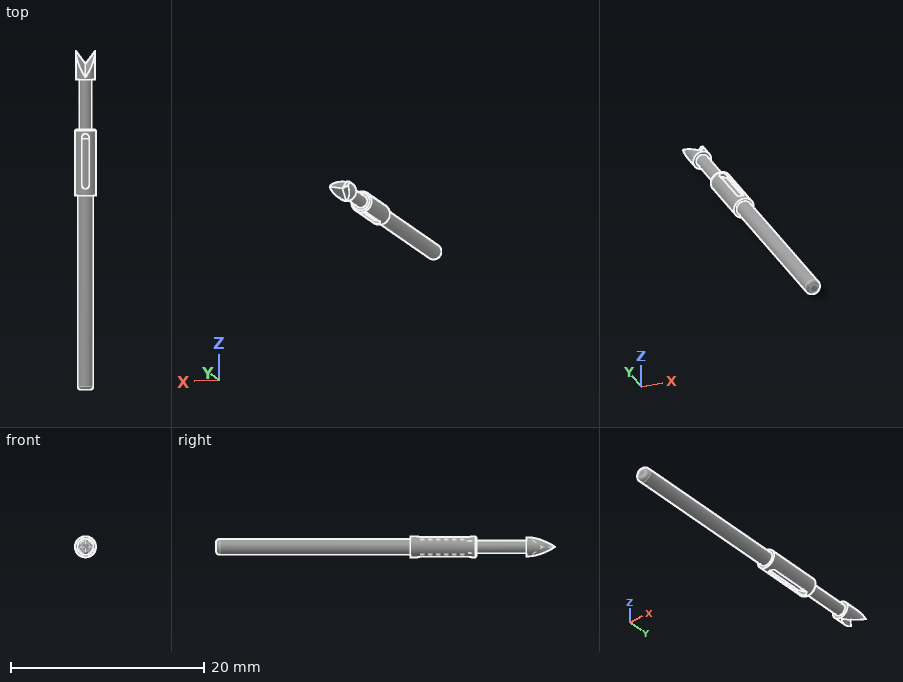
import cadquery as cq
total_length = 35.1
tip_y = total_length / 2

head_diameter = 2.0
head_length = 3.0
notch_depth_at_axis = 1.35
notch_depth_at_surface = 2.75

plunger_diameter = 1.35

collar_start = 8.1
collar_end = 15.0
collar_diameter = 2.2
collar_chamfer = 0.18

barrel_diameter = 1.65
barrel_start = 9.13
tail_fillet = 0.4

slot_width = 0.75
slot_start = 8.6
slot_end = 14.3


def rod(diameter, start, end):
    """Cylinder along Y between two distances from the tip."""
    profile = cq.Workplane("XZ", origin=(0, tip_y - start, 0)).circle(diameter / 2)
    return profile.extrude(end - start)


def notch():
    """Upward half of the tip notch: a V whose root slopes back from axis to surface."""
    head_radius = head_diameter / 2
    height = collar_diameter
    root_slope = (notch_depth_at_surface - notch_depth_at_axis) / head_radius

    def v_points(z):
        depth = notch_depth_at_axis + root_slope * z
        half_width = head_radius * depth / notch_depth_at_axis
        return [(-half_width, tip_y), (half_width, tip_y), (0, tip_y - depth)]

    lower = cq.Workplane("XY").polyline(v_points(0)).close()
    return lower.workplane(offset=height).polyline(v_points(height)).close().loft(ruled=True)


def crown_head():
    """Cylindrical head cut into two pointed prongs by notches above and below."""
    upper_notch = notch()
    lower_notch = upper_notch.mirror("XY")
    return rod(head_diameter, 0, head_length).cut(upper_notch).cut(lower_notch)


def slotted_collar():
    """Press collar with a chamfered front edge and a round-ended slot through its wall above and below."""
    slot_length = slot_end - slot_start
    slot_center_y = tip_y - (slot_start + slot_end) / 2
    slot = (
        cq.Workplane("XY", origin=(0, slot_center_y, 0))
        .slot2D(slot_length, slot_width, 90)
        .extrude(collar_diameter, both=True)
    )
    collar = rod(collar_diameter, collar_start, collar_end).faces(">Y").chamfer(collar_chamfer)
    return collar.cut(slot)


def barrel():
    """Long barrel that starts inside the collar and ends in a rounded tail."""
    return rod(barrel_diameter, barrel_start, total_length).faces("<Y").edges().fillet(tail_fillet)


plunger = rod(plunger_diameter, head_length, barrel_start)
result = crown_head().union(plunger).union(slotted_collar()).union(barrel())